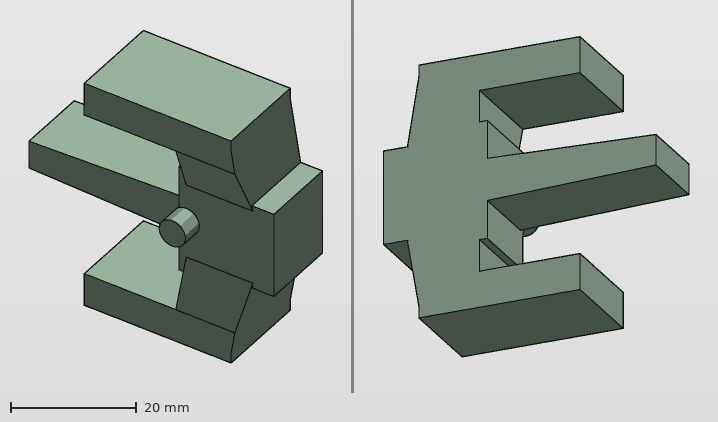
import cadquery as cq


hub_depth = 14.0
hub_right = 16.7
hub_half_height = 8.1
flange_left = -1.35
flange_half_height = 10.2

boom_depth = 13.0
boom_tip = -30.65
boom_tip_half_height = 2.65
boom_root_half_height = 3.65

arm_depth = 17.0
arm_left = -17.45
arm_right = 10.55
arm_half_height = 21.9
arm_thickness = 6.25
arm_inner = arm_half_height - arm_thickness
web_left = 0.0
web_inner = 7.1
web_right = 12.7
slant_top = 19.9

pin_radius = 2.5
pin_front = 18.0


def extrude_forward(outline, depth):
    """Extrude a closed XZ outline from the back plane toward -Y."""
    return cq.Workplane("XZ").polyline(outline).close().extrude(depth)


def make_block(left, right, half_height, depth):
    """Block centred on Z = 0 with its back on Y = 0."""
    return extrude_forward(
        [(left, -half_height), (right, -half_height), (right, half_height), (left, half_height)],
        depth,
    )


def make_hub():
    body = make_block(flange_left, hub_right, hub_half_height, hub_depth)
    flange = make_block(flange_left, web_left, flange_half_height, hub_depth)
    return body.union(flange)


def make_boom():
    return extrude_forward(
        [
            (boom_tip, -boom_tip_half_height),
            (flange_left, -boom_root_half_height),
            (flange_left, boom_root_half_height),
            (boom_tip, boom_tip_half_height),
        ],
        boom_depth,
    )


def make_upper_arm():
    """Arm and web in one profile, with the web front sloping back to the hub face."""
    arm = extrude_forward(
        [
            (arm_left, arm_half_height),
            (arm_right, arm_half_height),
            (arm_right, slant_top),
            (web_right, web_inner),
            (web_left, web_inner),
            (web_left, arm_inner),
            (arm_left, arm_inner),
        ],
        arm_depth,
    )
    web_front_waste = (
        cq.Workplane("YZ", origin=(web_left, 0, 0))
        .polyline([(-arm_depth, arm_inner), (-hub_depth, web_inner), (-arm_depth, web_inner)])
        .close()
        .extrude(web_right - web_left)
    )
    return arm.cut(web_front_waste)


def make_pin():
    """Pin standing on the boom front and passing through the hub face."""
    return (
        cq.Workplane("XZ", origin=(0, -boom_depth, 0))
        .circle(pin_radius)
        .extrude(pin_front - boom_depth)
    )


upper_arm = make_upper_arm()
lower_arm = upper_arm.mirror("XY")

result = make_hub().union(make_boom()).union(upper_arm).union(lower_arm).union(make_pin())